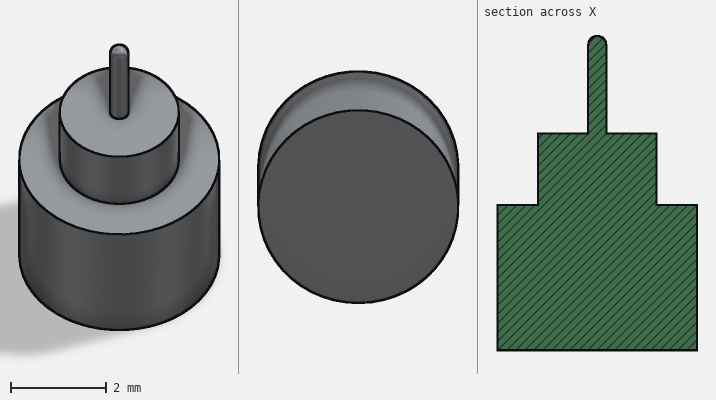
import cadquery as cq

total_height = 6.6
body_diameter = 4.2
body_height = 3.05
collar_diameter = 2.5
collar_height = 1.5
insulator_diameter = 1.95
pin_diameter = 0.39

collar_top = body_height + collar_height
pin_length = total_height - collar_top


def cylinder(diameter, bottom, height):
    """Upright cylinder on the Z axis."""
    return cq.Workplane("XY").workplane(offset=bottom).circle(diameter / 2).extrude(height)


def make_shell():
    """Body and collar, bored through the collar for the insulator."""
    body = cylinder(body_diameter, 0, body_height)
    collar = cylinder(collar_diameter, body_height, collar_height)
    bore = cylinder(insulator_diameter, body_height, collar_height)
    return body.union(collar).cut(bore)


def make_insulator():
    """Disc that fills the collar bore, flush with the collar top."""
    return cylinder(insulator_diameter, body_height, collar_height)


def make_pin():
    """Pin standing on the insulator, with a hemispherical tip."""
    pin_radius = pin_diameter / 2
    shank_top = total_height - pin_radius
    shank = cylinder(pin_diameter, collar_top, pin_length - pin_radius)
    tip = cq.Workplane("XY").sphere(pin_radius).translate((0, 0, shank_top))
    return shank.union(tip)


result = make_shell().union(make_insulator(), clean=False).union(make_pin(), clean=False)